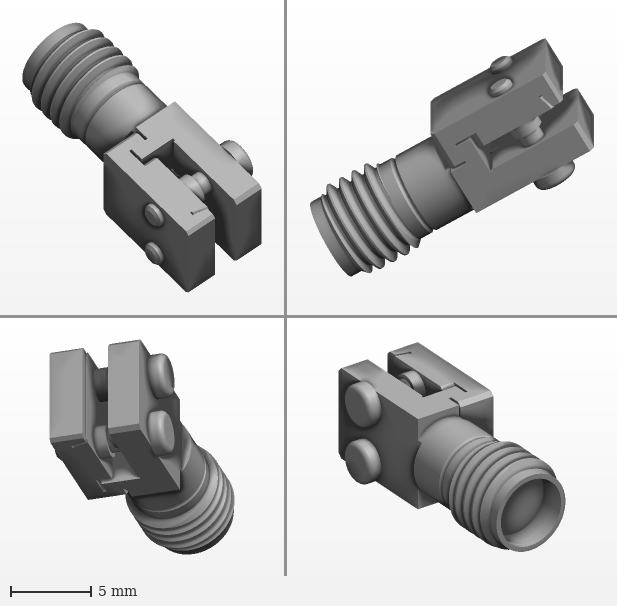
import cadquery as cq
import math


total_length = 17.77
block_height = 6.4
corner_chamfer = 0.28
block_start = 9.28
block_front = -1.12
arm_back = 2.03
leg_left = 10.41
leg_right = 11.4
leg_tip = -2.42
relief_depth = 0.1
arm_relief_width = 0.21

barrel_radius = 2.65
barrel_flat_start = 8.85
bore_radius = 2.31
bore_depth = 1.87

groove_start = 5.8
groove_end = 6.17
groove_depth = 0.16
groove_floor = 0.07

thread_start = 0.76
thread_end = 4.95
thread_radius = 3.11
thread_root_radius = 2.6
five_pitches = 4.5
thread_crest = 0.12
thread_half_angle = 30.0
helix_start = -0.04
helix_turns = 6
ridge_sink = 0.09
crest_clearance = 0.09

jaw_left = 9.4
jaw_right = 17.72
jaw_outer = -3.85
jaw_floor = -2.61
jaw_left_lip = -1.33
jaw_right_lip = -1.7
jaw_right_chamfer = 0.23
wedge_wall_foot = 16.77
wedge_foot_height = 0.1
wedge_angle = 15.0
jaw_relief_width = 0.27

strip_left = 11.67
strip_top = -1.62
strip_wedge_chamfer = 0.16
boss_radius = 1.05
boss_top = -0.82

screw_x = 14.59
screw_z = 2.03
shank_radius = 0.76
screw_tip = -4.34
tip_chamfer = 0.2
head_radius = 1.4
head_height = 0.98
head_round = 0.37

pin_radius = 0.08
pin_length = 0.71

half_height = block_height / 2
thread_pitch = five_pitches / 5
wedge_slope = math.tan(math.radians(wedge_angle))


def prism(points):
    """Closed XY outline, extruded over the full height about Z = 0."""
    return cq.Workplane("XY").polyline(points).close().extrude(half_height, both=True)


def turned(points):
    """Closed XY outline, revolved about the X axis."""
    return cq.Workplane("XY").polyline(points).close().revolve(360, (0, 0, 0), (1, 0, 0))


def y_cylinder(radius, y_from, y_to, z):
    """Cylinder along Y on the screw position at height z."""
    plane = cq.Plane(origin=(screw_x, y_from, z), xDir=(1, 0, 0), normal=(0, 1, 0))
    return cq.Workplane(plane).circle(radius).extrude(y_to - y_from)


def drill_for_screws(body):
    """Cut both screw holes through a body."""
    for z in (-screw_z, screw_z):
        body = body.cut(y_cylinder(shank_radius, screw_tip, arm_back, z))
    return body


def wedge_x(y):
    """X of the sloping contact face between jaw and strip at a given Y."""
    return wedge_wall_foot + (y - jaw_floor - wedge_foot_height) * wedge_slope


def make_barrel():
    neck_radius = barrel_radius - groove_depth
    groove_middle = (groove_start + groove_end) / 2
    barrel = turned([
        (0, 0),
        (0, barrel_radius),
        (thread_start, barrel_radius),
        (thread_start, thread_root_radius),
        (thread_end, thread_root_radius),
        (thread_end, barrel_radius),
        (groove_start, barrel_radius),
        (groove_middle - groove_floor / 2, neck_radius),
        (groove_middle + groove_floor / 2, neck_radius),
        (groove_end, barrel_radius),
        (block_start, barrel_radius),
        (block_start, 0),
    ])
    flat_length = block_start - barrel_flat_start
    flat_x = barrel_flat_start + flat_length / 2
    for y_inner, y_outer in ((arm_back, barrel_radius), (block_front, -barrel_radius)):
        depth = abs(y_outer - y_inner)
        offcut = cq.Workplane("XY").box(flat_length, depth, block_height)
        barrel = barrel.cut(offcut.translate((flat_x, (y_inner + y_outer) / 2, 0)))
    return barrel


def make_thread():
    """Helical ridge, trimmed to the thread length by a cylinder with 45 degree ends."""
    base_radius = thread_root_radius - ridge_sink
    flank = (thread_radius - base_radius) * math.tan(math.radians(thread_half_angle))
    half_crest = thread_crest / 2
    helix = cq.Wire.makeHelix(thread_pitch, thread_pitch * helix_turns, base_radius)
    ridge = (
        cq.Workplane("XZ")
        .polyline([
            (base_radius, -half_crest - flank),
            (thread_radius, -half_crest),
            (thread_radius, half_crest),
            (base_radius, half_crest + flank),
        ])
        .close()
        .sweep(cq.Workplane(helix), isFrenet=True)
        .rotate((0, 0, 0), (0, 1, 0), 90)
        .translate((helix_start, 0, 0))
    )
    end_chamfer = thread_radius - barrel_radius + crest_clearance
    envelope_radius = barrel_radius + end_chamfer
    envelope = turned([
        (thread_start, 0),
        (thread_start, barrel_radius),
        (thread_start + end_chamfer, envelope_radius),
        (thread_end - end_chamfer, envelope_radius),
        (thread_end, barrel_radius),
        (thread_end, 0),
    ])
    return ridge.intersect(envelope)


def make_pin():
    """Contact pin on the connector axis, standing out of the leg."""
    return cq.Workplane("YZ", origin=(leg_right, 0, 0)).circle(pin_radius).extrude(pin_length)


def make_housing():
    block = prism([
        (block_start, arm_back),
        (total_length, arm_back),
        (total_length, 0),
        (leg_right + arm_relief_width, 0),
        (leg_right + arm_relief_width, relief_depth),
        (leg_right, relief_depth),
        (leg_right, leg_tip),
        (leg_left, leg_tip),
        (leg_left, block_front),
        (block_start, block_front),
    ])
    block = block.edges(">X and |Y").chamfer(corner_chamfer)
    housing = block.union(make_barrel()).union(make_thread())
    bore = cq.Workplane("YZ").circle(bore_radius).extrude(bore_depth)
    return drill_for_screws(housing.cut(bore).cut(make_pin()))


def make_jaw():
    relief_floor = jaw_floor - relief_depth
    relief_left = wedge_wall_foot - jaw_relief_width
    jaw = prism([
        (jaw_left, jaw_outer),
        (jaw_right, jaw_outer),
        (jaw_right, jaw_right_lip),
        (wedge_x(jaw_right_lip), jaw_right_lip),
        (wedge_wall_foot, jaw_floor + wedge_foot_height),
        (wedge_wall_foot, relief_floor),
        (relief_left, relief_floor),
        (relief_left, jaw_floor),
        (leg_left, jaw_floor),
        (leg_left, jaw_left_lip),
        (jaw_left, jaw_left_lip),
    ])
    jaw = jaw.edges("<X and |Y").chamfer(corner_chamfer)
    jaw = jaw.edges(">X and |Y").chamfer(jaw_right_chamfer)
    return drill_for_screws(jaw)


def make_strip():
    strip = prism([
        (strip_left, jaw_floor),
        (wedge_x(jaw_floor), jaw_floor),
        (wedge_x(strip_top), strip_top),
        (strip_left, strip_top),
    ])
    strip = strip.edges("<X and |Y").chamfer(corner_chamfer)
    wedge_direction = cq.Vector(wedge_slope, 1, 0)
    wedge_edges = cq.selectors.ParallelDirSelector(wedge_direction)
    strip = strip.edges(wedge_edges).chamfer(strip_wedge_chamfer)
    for z in (-screw_z, screw_z):
        strip = strip.union(y_cylinder(boss_radius, strip_top, boss_top, z))
    return drill_for_screws(strip)


def make_screw(z):
    shank = y_cylinder(shank_radius, screw_tip, arm_back, z)
    shank = shank.faces("<Y").chamfer(tip_chamfer)
    head = y_cylinder(head_radius, arm_back, arm_back + head_height, z)
    head = head.faces(">Y").edges().fillet(head_round)
    return shank.union(head)


housing = make_housing()
jaw = make_jaw()
strip = make_strip()
pin = make_pin()
screws = [make_screw(z) for z in (-screw_z, screw_z)]

result = cq.Compound.makeCompound([
    housing.val(),
    jaw.val(),
    strip.val(),
    pin.val(),
    *[screw.val() for screw in screws],
])